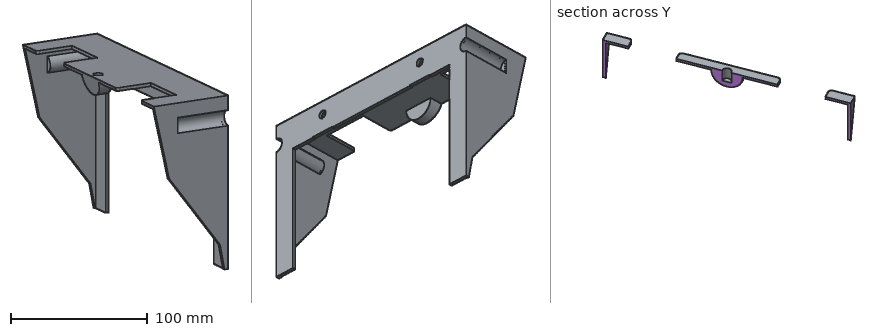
import cadquery as cq

width = 194.9
depth = 62.5
height = 132.0
wall = 2.5

bar_height = 27.5
leg_width = 17.2
relief_width = 20.0
relief_depth = 0.5
mount_hole_diameter = 6.5
mount_hole_drop = 11.5
mount_hole_offset = 49.9

slot_outer_x = width / 2 - 20.0
slot_inner_x = width / 2 - 57.7
slot_back = 32.5
tab_front = 61.5
corner_radius = 2.5

upper_bend_reach = 49.7
upper_bend_drop = 56.7
lower_bend_reach = 6.8
lower_bend_drop = 112.8
foot_reach = 3.1

groove_radius = 5.8
groove_length = 42.3
groove_drop = 17.2
shell_thickness = 1.0

boss_radius = 12.5
boss_back = 49.5
pin_hole_diameter = 7.0
pin_hole_depth = 9.7
pin_hole_reach = 54.4


def box(x_min, x_max, y_front, y_back, z_bottom, z_top):
    """Box between the given limits; y_front and y_back are distances from the back face."""
    size = (x_max - x_min, y_front - y_back, z_top - z_bottom)
    return cq.Workplane("XY").box(*size, centered=False).translate((x_min, -y_front, z_bottom))


def cylinder_along_y(radius, length, x, z, start=0.0):
    """Cylinder running forward from a distance `start` in front of the back face."""
    return cq.Workplane("XZ", origin=(0, -start, 0)).center(x, z).circle(radius).extrude(length)


def front_wedge(reach, half_width):
    """Wedge ahead of a front face that leans back like the upper edge of the side panels."""
    lean = depth - upper_bend_reach
    outline = [(-reach, 0), (-reach, -upper_bend_drop), (lean - reach, -upper_bend_drop)]
    wedge = cq.Workplane("YZ", origin=(-half_width, 0, 0)).polyline(outline).close()
    return wedge.extrude(2 * half_width)


def make_back_plate():
    plate = box(-width / 2, width / 2, wall, 0, -height, 0)
    opening = width / 2 - leg_width
    plate = plate.cut(box(-opening, opening, wall, 0, -height, -bar_height))
    for x in (-mount_hole_offset, mount_hole_offset):
        plate = plate.cut(cylinder_along_y(mount_hole_diameter / 2, wall, x, -mount_hole_drop))
        half_relief = relief_width / 2
        relief_top = relief_depth - bar_height
        plate = plate.cut(box(x - half_relief, x + half_relief, wall, 0, -bar_height, relief_top))
    return plate


def make_top_plate():
    plate = box(-width / 2, width / 2, depth, 0, -wall, 0)
    plate = plate.cut(box(-slot_inner_x, slot_inner_x, depth, tab_front, -wall, 0))
    for x_min, x_max in ((-slot_outer_x, -slot_inner_x), (slot_inner_x, slot_outer_x)):
        plate = plate.cut(box(x_min, x_max, depth, slot_back, -wall, 0))
    tab_corners = cq.selectors.BoxSelector(
        (-slot_outer_x - wall, -depth - wall, -height), (slot_outer_x + wall, -slot_back - wall, height)
    )
    plate = plate.edges("|Z").edges(tab_corners).fillet(corner_radius)
    return plate.cut(front_wedge(depth, width / 2)).cut(front_wedge(tab_front, slot_inner_x))


def make_side_panel(x_min):
    outline = [
        (0, 0),
        (-depth, 0),
        (-upper_bend_reach, -upper_bend_drop),
        (-lower_bend_reach, -lower_bend_drop),
        (-foot_reach, -height),
        (0, -height),
    ]
    return cq.Workplane("YZ", origin=(x_min, 0, 0)).polyline(outline).close().extrude(wall)


def make_boss():
    disc = cylinder_along_y(boss_radius, tab_front - boss_back, 0, -wall, boss_back)
    lower_half = box(-boss_radius, boss_radius, depth, 0, -wall - boss_radius, -wall)
    return disc.intersect(lower_half).cut(front_wedge(tab_front, boss_radius))


body = make_back_plate().union(make_top_plate()).union(make_boss())
for panel_x in (-width / 2, width / 2 - wall):
    body = body.union(make_side_panel(panel_x))

envelope = box(-width / 2, width / 2, depth, 0, -height, 0)
for side_x in (-width / 2, width / 2):
    shell_radius = groove_radius + shell_thickness
    shell_length = groove_length + shell_thickness
    shell = cylinder_along_y(shell_radius, shell_length, side_x, -groove_drop)
    body = body.union(shell.intersect(envelope))
    body = body.cut(cylinder_along_y(groove_radius, groove_length, side_x, -groove_drop))

pin_hole = (
    cq.Workplane("XY")
    .center(0, -pin_hole_reach)
    .circle(pin_hole_diameter / 2)
    .extrude(-pin_hole_depth)
)
result = body.cut(pin_hole)